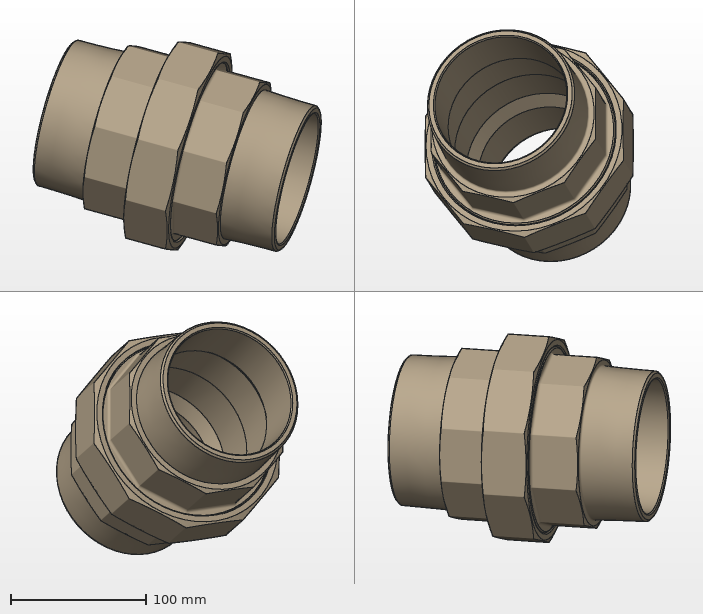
import cadquery as cq
import math

LENGTH = 188.0
END_X = LENGTH / 2

PIPE_MID_DIAMETER = 113.0
TAPER = 1 / 16
PIPE_END_CHAMFER = 1.5
PIPE_ROOT_FILLET = 1.3

BORE_DIAMETER = 100.0
BORE_CHAMFER = 1.0
BORE_LENGTH = 44.5
CHAMBER_DIAMETER = 113.0
CHAMBER_CONE_ANGLE = 30.0

SIDES = 10
CORNER_FILLET = 1.0
CORNER_CHAMFER_ANGLE = 20.0
BODY_FLATS = 124.6
BODY_CHAMFER_DIAMETER = 123.0
BODY_OUTER_X = 52.8

COLLAR_X = 17.0
COLLAR_FILLET = 2.0
COLLAR_FACE_DIAMETER = 136.0

NUT_FLATS = 150.0
NUT_LEFT_X = -16.7
NUT_RIGHT_X = 18.0
NUT_LEFT_CHAMFER_DIAMETER = 148.5
NUT_RIGHT_CHAMFER_DIAMETER = 147.0
NUT_MOUTH_DIAMETER = 140.0

NUT_BORE_DIAMETER = (COLLAR_FACE_DIAMETER + NUT_MOUTH_DIAMETER) / 2
COLLAR_CHAMFER = (NUT_BORE_DIAMETER - COLLAR_FACE_DIAMETER) / 2
NUT_MOUTH_CHAMFER = (NUT_MOUTH_DIAMETER - NUT_BORE_DIAMETER) / 2


def revolve_about_x(points):
    """Solid of revolution about X from (x, radius) points."""
    return cq.Workplane("XY").polyline(points).close().revolve(360, (0, 0, 0), (1, 0, 0))


def corner_radius(flats):
    """Distance from the axis to a sharp corner of a ten-sided section."""
    return flats / 2 / math.cos(math.pi / SIDES)


def corner_chamfer_depth(flats, face_diameter):
    """Axial depth of a chamfer cone from its circle on the end face out to the corners."""
    rise = corner_radius(flats) - face_diameter / 2
    return rise * math.tan(math.radians(CORNER_CHAMFER_ANGLE))


def decagon_prism(flats, x_start, x_end):
    """Ten-sided prism along X, with two corners on the Z axis and flats facing +Y and -Y."""
    return (
        cq.Workplane("YZ", origin=(x_start, 0, 0))
        .transformed(rotate=(0, 0, 90))
        .polygon(SIDES, 2 * corner_radius(flats))
        .extrude(x_end - x_start)
        .edges("|X")
        .fillet(CORNER_FILLET)
    )


def wrench_section():
    """Ten-sided section with its corners chamfered on the outer face."""
    envelope_radius = corner_radius(BODY_FLATS)
    depth = corner_chamfer_depth(BODY_FLATS, BODY_CHAMFER_DIAMETER)
    envelope = revolve_about_x([
        (-BODY_OUTER_X, 0),
        (-BODY_OUTER_X, BODY_CHAMFER_DIAMETER / 2),
        (-BODY_OUTER_X + depth, envelope_radius),
        (-COLLAR_X, envelope_radius),
        (-COLLAR_X, 0),
    ])
    return decagon_prism(BODY_FLATS, -BODY_OUTER_X, -COLLAR_X).intersect(envelope)


def collar():
    """Round collar from its chamfered outer face to the joint."""
    return revolve_about_x([
        (-COLLAR_X, 0),
        (-COLLAR_X, COLLAR_FACE_DIAMETER / 2),
        (-COLLAR_X + COLLAR_CHAMFER, NUT_BORE_DIAMETER / 2),
        (0, NUT_BORE_DIAMETER / 2),
        (0, 0),
    ])


def wrench_with_collar():
    """Wrench section and collar, with a fillet where the ten sides meet the collar face."""
    reach = COLLAR_FACE_DIAMETER / 2 - CORNER_FILLET
    slack = 0.2
    inner_edges = cq.selectors.BoxSelector(
        (-COLLAR_X - slack, -reach, -reach),
        (-COLLAR_X + slack, reach, reach),
    )
    return wrench_section().union(collar()).edges("%LINE").edges(inner_edges).fillet(COLLAR_FILLET)


def pipe_end(root_fillet):
    """Tapered pipe end, blended into the wrench section when a root fillet is given."""
    radius_change = TAPER * (END_X - BODY_OUTER_X) / 2
    tip_radius = (PIPE_MID_DIAMETER - radius_change) / 2
    root_radius = (PIPE_MID_DIAMETER + radius_change) / 2
    outline = (
        cq.Workplane("XY")
        .moveTo(-END_X, 0)
        .lineTo(-END_X, tip_radius - PIPE_END_CHAMFER)
        .lineTo(-END_X + PIPE_END_CHAMFER, tip_radius)
    )
    if root_fillet:
        outline = (
            outline
            .lineTo(-BODY_OUTER_X - root_fillet, root_radius)
            .radiusArc((-BODY_OUTER_X, root_radius + root_fillet), -root_fillet)
        )
    else:
        outline = outline.lineTo(-BODY_OUTER_X, root_radius)
    return outline.lineTo(-BODY_OUTER_X, 0).close().revolve(360, (0, 0, 0), (1, 0, 0))


def body_bore():
    """Bore of one body: chamfered mouth, straight bore, cone and chamber up to the joint."""
    bore_radius = BORE_DIAMETER / 2
    chamber_radius = CHAMBER_DIAMETER / 2
    cone_x = BORE_LENGTH - END_X
    cone_length = (chamber_radius - bore_radius) / math.tan(math.radians(CHAMBER_CONE_ANGLE))
    return revolve_about_x([
        (-END_X, 0),
        (-END_X, bore_radius + BORE_CHAMFER),
        (-END_X + BORE_CHAMFER, bore_radius),
        (cone_x, bore_radius),
        (cone_x + cone_length, chamber_radius),
        (0, chamber_radius),
        (0, 0),
    ])


def pipe_body(root_fillet):
    """One body of the union, on the -X side of the joint."""
    return wrench_with_collar().union(pipe_end(root_fillet)).cut(body_bore())


def union_nut():
    """Ten-sided nut around both collars, its corners chamfered on both end faces."""
    envelope_radius = corner_radius(NUT_FLATS)
    left_depth = corner_chamfer_depth(NUT_FLATS, NUT_LEFT_CHAMFER_DIAMETER)
    right_depth = corner_chamfer_depth(NUT_FLATS, NUT_RIGHT_CHAMFER_DIAMETER)
    envelope = revolve_about_x([
        (NUT_LEFT_X, 0),
        (NUT_LEFT_X, NUT_LEFT_CHAMFER_DIAMETER / 2),
        (NUT_LEFT_X + left_depth, envelope_radius),
        (NUT_RIGHT_X - right_depth, envelope_radius),
        (NUT_RIGHT_X, NUT_RIGHT_CHAMFER_DIAMETER / 2),
        (NUT_RIGHT_X, 0),
    ])
    bore = revolve_about_x([
        (NUT_LEFT_X, 0),
        (NUT_LEFT_X, NUT_MOUTH_DIAMETER / 2),
        (NUT_LEFT_X + NUT_MOUTH_CHAMFER, NUT_BORE_DIAMETER / 2),
        (NUT_RIGHT_X, NUT_BORE_DIAMETER / 2),
        (NUT_RIGHT_X, 0),
    ])
    return decagon_prism(NUT_FLATS, NUT_LEFT_X, NUT_RIGHT_X).intersect(envelope).cut(bore)


left_body = pipe_body(PIPE_ROOT_FILLET)
right_body = pipe_body(0).mirror("YZ")
nut = union_nut()

result = cq.Compound.makeCompound([left_body.val(), right_body.val(), nut.val()])